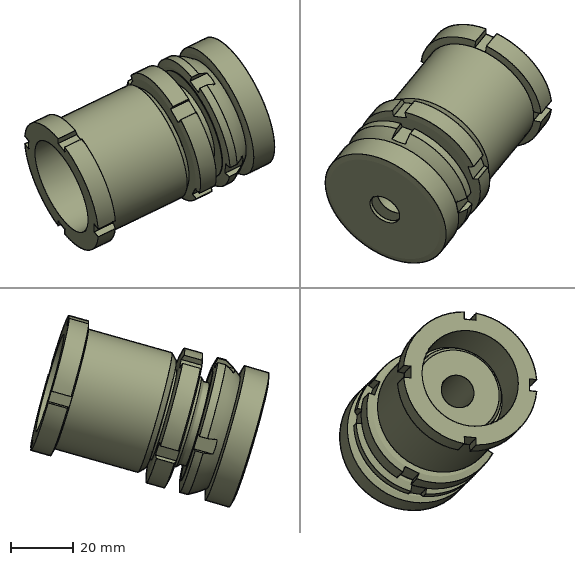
import cadquery as cq
import math


outer_radius = 22.5
bevel_slope = math.tan(math.radians(15.0))
bevel_width = 2.0
bevel_height = bevel_width * bevel_slope
slot_count = 4

flange_length = 7.0
flange_slot_width = 4.0
flange_slot_floor = 20.0
sleeve_radius = 20.0
sleeve_length = 37.0
sleeve_chamfer = 2.0
sleeve_bore_radius = 16.2
sleeve_bore_depth = 17.0

nut_start = 38.0
nut_length = 7.0
nut_slot_width = 5.0
nut_slot_floor = 20.5
nut_turn = 21.0

stem_radius = 15.0
stem_start = 13.2
stem_chamfer = 1.0
upper_chamfer_start = 46.25
neck_radius = 13.85
neck_fillet = 0.6
disc_start = 48.95
disc_bevel_width = 2.6
disc_bevel_height = disc_bevel_width * bevel_slope
disc_recess_radius = 18.7
disc_recess_depth = 0.2
disc_rim_end = 52.3
disc_slot_width = 5.0
disc_slot_floor = 20.5
disc_turn = 4.0
through_radius = 5.5

sphere_radius = 25.0
sphere_centre = disc_rim_end - math.sqrt(sphere_radius**2 - outer_radius**2)
dome_top = 62.0
dome_top_radius = math.sqrt(sphere_radius**2 - (dome_top - sphere_centre) ** 2)

washer_start = 57.95
washer_end = 66.97
washer_tilt = 0.6


def turned(profile):
    """Revolve an (x = radius, y = axis) profile about the Y axis."""
    return profile.close().revolve(360, (0, 0, 0), (0, 1, 0))


def bevelled_disc(start, end):
    """Full-width disc along Y with a shallow bevel on both rims."""
    return turned(
        cq.Workplane("XY")
        .moveTo(0, start)
        .lineTo(outer_radius - bevel_width, start)
        .lineTo(outer_radius, start + bevel_height)
        .lineTo(outer_radius, end - bevel_height)
        .lineTo(outer_radius - bevel_width, end)
        .lineTo(0, end)
    )


def bore(radius, start, end):
    """Cylinder along Y used to cut a hole."""
    return cq.Workplane("XZ", origin=(0, start, 0)).circle(radius).extrude(start - end)


def cut_rim_slots(body, width, floor, start, end, turn):
    """Cut evenly spaced spanner slots with flat floors into a rim."""
    depth = outer_radius - floor + 1
    cutter = cq.Workplane("XY").box(width, end - start, depth, centered=(True, False, False))
    cutter = cutter.translate((0, start, floor))
    for index in range(slot_count):
        angle = turn + index * 360 / slot_count
        body = body.cut(cutter.rotate((0, 0, 0), (0, 1, 0), angle))
    return body


def make_sleeve():
    sleeve = turned(
        cq.Workplane("XY")
        .moveTo(0, 0)
        .lineTo(outer_radius, 0)
        .lineTo(outer_radius, flange_length - bevel_height)
        .lineTo(outer_radius - bevel_width, flange_length)
        .lineTo(sleeve_radius, flange_length)
        .lineTo(sleeve_radius, sleeve_length - sleeve_chamfer)
        .lineTo(sleeve_radius - sleeve_chamfer, sleeve_length)
        .lineTo(0, sleeve_length)
    )
    sleeve = sleeve.cut(bore(sleeve_bore_radius, 0, sleeve_bore_depth))
    sleeve = sleeve.cut(bore(stem_radius, 0, sleeve_length))
    return cut_rim_slots(sleeve, flange_slot_width, flange_slot_floor, 0, flange_length, 0)


def make_nut():
    nut_end = nut_start + nut_length
    nut = bevelled_disc(nut_start, nut_end)
    nut = nut.cut(bore(stem_radius, nut_start, nut_end))
    return cut_rim_slots(nut, nut_slot_width, nut_slot_floor, nut_start, nut_end, nut_turn)


def make_stem():
    """Threaded stem whose upper 45 degree chamfer runs tangentially into the neck."""
    half_turn = math.radians(22.5)
    full_turn = math.radians(45.0)
    fillet_radius = neck_radius + neck_fillet
    fillet_start_radius = fillet_radius - neck_fillet * math.cos(full_turn)
    fillet_start_y = upper_chamfer_start + stem_radius - fillet_start_radius
    fillet_end_y = fillet_start_y + neck_fillet * math.sin(full_turn)
    fillet_mid = (
        fillet_radius - neck_fillet * math.cos(half_turn),
        fillet_end_y - neck_fillet * math.sin(half_turn),
    )
    return turned(
        cq.Workplane("XY")
        .moveTo(0, stem_start)
        .lineTo(stem_radius - stem_chamfer, stem_start)
        .lineTo(stem_radius, stem_start + stem_chamfer)
        .lineTo(stem_radius, upper_chamfer_start)
        .lineTo(fillet_start_radius, fillet_start_y)
        .threePointArc(fillet_mid, (neck_radius, fillet_end_y))
        .lineTo(neck_radius, disc_rim_end)
        .lineTo(0, disc_rim_end)
    )


def make_spindle():
    arc_mid_y = (disc_rim_end + dome_top) / 2
    arc_mid_radius = math.sqrt(sphere_radius**2 - (arc_mid_y - sphere_centre) ** 2)
    disc = turned(
        cq.Workplane("XY")
        .moveTo(0, disc_start + disc_recess_depth)
        .lineTo(disc_recess_radius, disc_start + disc_recess_depth)
        .lineTo(disc_recess_radius, disc_start)
        .lineTo(outer_radius - disc_bevel_width, disc_start)
        .lineTo(outer_radius, disc_start + disc_bevel_height)
        .lineTo(outer_radius, disc_rim_end)
        .threePointArc((arc_mid_radius, arc_mid_y), (dome_top_radius, dome_top))
        .lineTo(0, dome_top)
    )
    disc = cut_rim_slots(disc, disc_slot_width, disc_slot_floor, disc_start, washer_start, disc_turn)
    spindle = make_stem().union(disc)
    return spindle.cut(bore(through_radius, stem_start, dome_top))


def make_washer():
    washer = bevelled_disc(washer_start, washer_end)
    washer = washer.cut(bore(through_radius, washer_start, washer_end))
    washer = washer.rotate((0, sphere_centre, 0), (0, sphere_centre, 1), washer_tilt)
    seat = cq.Workplane("XY").sphere(sphere_radius).translate((0, sphere_centre, 0))
    return washer.cut(seat)


sleeve = make_sleeve()
nut = make_nut()
spindle = make_spindle()
washer = make_washer()

result = cq.Compound.makeCompound([sleeve.val(), nut.val(), spindle.val(), washer.val()])